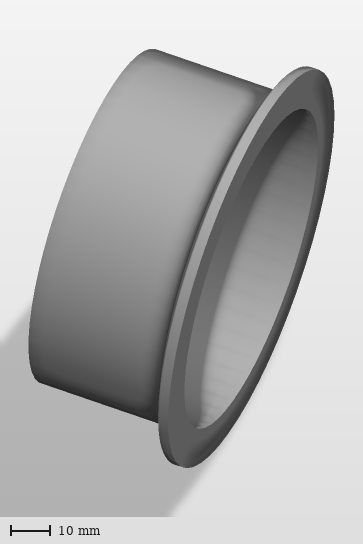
import cadquery as cq
import math

length = 42.0
flange_diameter = 106.0
tube_diameter = 89.1
bore_diameter = 85.1

rim_width = 2.8
cone_angle = 20.0
root_fillet = 2.1
rim_fillet = 0.6

flange_radius = flange_diameter / 2
tube_radius = tube_diameter / 2
bore_radius = bore_diameter / 2
rim_start = length - rim_width
cone_run = (flange_radius - tube_radius) * math.tan(math.radians(cone_angle))
cone_start = rim_start - cone_run

section = (
    cq.Workplane("XY")
    .moveTo(0, bore_radius)
    .lineTo(0, tube_radius)
    .lineTo(cone_start, tube_radius)
    .lineTo(rim_start, flange_radius)
    .lineTo(length, flange_radius)
    .lineTo(length, bore_radius)
    .close()
)
ferrule = section.revolve(360, (0, 0, 0), (1, 0, 0))


def round_circle(body, x, radius, fillet):
    """Fillet the circular edge of the given radius at position x."""
    margin = 0.01
    reach = radius + margin
    edge = cq.selectors.BoxSelector(
        (x - margin, -reach, -reach), (x + margin, reach, reach), boundingbox=True
    )
    return body.edges(edge).fillet(fillet)


ferrule = round_circle(ferrule, cone_start, tube_radius, root_fillet)
result = round_circle(ferrule, rim_start, flange_radius, rim_fillet)